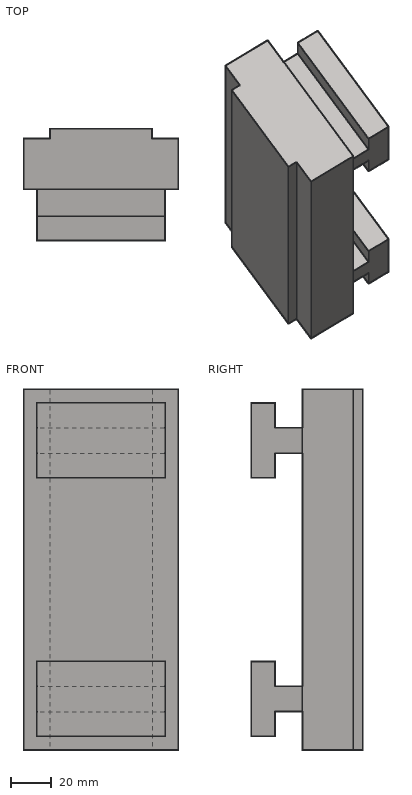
import cadquery as cq

width = 76.3
height = 177.8
total_depth = 55.1

strip_width = 50.5
strip_depth = 4.8

rail_length = 63.1
head_height = 37.0
head_depth = 12.0
stem_height = 12.6
stem_depth = 13.3
edge_margin = 6.8

block_depth = total_depth - strip_depth - stem_depth - head_depth
rail_offset = height / 2 - edge_margin - head_height / 2


def box_from(y_start, x_size, y_size, z_size, z_center=0):
    """Box centred in X and at z_center, growing in +Y from y_start."""
    return cq.Workplane("XY").box(x_size, y_size, z_size).translate((0, y_start + y_size / 2, z_center))


def t_rail(z_center):
    """Stem standing on the front face, capped by a taller flat head."""
    stem = box_from(-stem_depth, rail_length, stem_depth, stem_height, z_center)
    head = box_from(-stem_depth - head_depth, rail_length, head_depth, head_height, z_center)
    return stem.union(head)


result = box_from(0, width, block_depth, height)
result = result.union(box_from(block_depth, strip_width, strip_depth, height))
for z_center in (-rail_offset, rail_offset):
    result = result.union(t_rail(z_center))